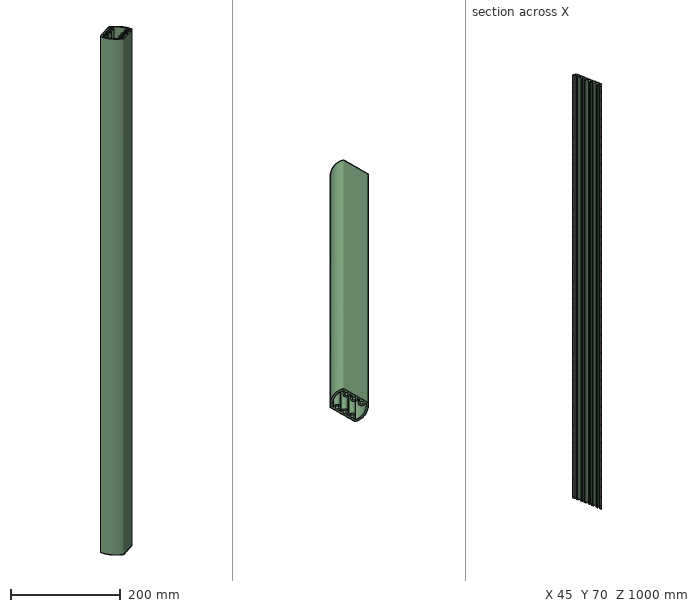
import cadquery as cq

width = 45.0
depth = 70.0
length = 1000.0

side_wall = 4.0
end_wall = 3.8
corner_radius = 1.5

ports_per_side = 3
port_pitch = 16.5
port_radius = 6.25
port_bore_radius = 3.0
port_x = 16.0


def flatted_round(diameter, across_flats):
    """Round bar along Z with two flats facing -X and +X."""
    bar = cq.Workplane("XY").circle(diameter / 2).extrude(length)
    flats = cq.Workplane("XY").rect(across_flats, diameter).extrude(length)
    return bar.intersect(flats)


def port_columns(radius):
    """Full-length cylinders at every screw port position."""
    return (
        cq.Workplane("XY")
        .rarray(2 * port_x, port_pitch, 2, ports_per_side)
        .circle(radius)
        .extrude(length)
    )


def hollow_shell():
    """Outer tube with rounded long corners and a cavity of the same form."""
    outer = flatted_round(depth, width).edges("|Z").fillet(corner_radius)
    cavity = flatted_round(depth - 2 * end_wall, width - 2 * side_wall)
    return outer.cut(cavity)


shell_with_ports = hollow_shell().union(port_columns(port_radius))
result = shell_with_ports.cut(port_columns(port_bore_radius))